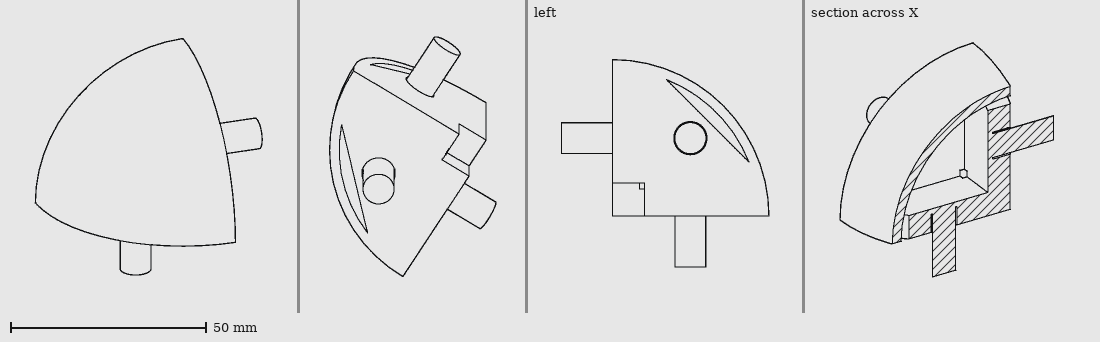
import cadquery as cq
import math

overall_size = 53.15
ball_radius = 40.1
pin_length = overall_size - ball_radius

hollow_radius = 37.6
wall_thickness = 6.9
wall_edge_distance = 34.55
wall_leg = wall_edge_distance * math.sqrt(2)

pin_diameter = 7.95
pin_hole_diameter = 8.5
pin_hole_depth = 5.3
pin_offset = 20.0

recess_width = 8.2
recess_height = 8.5

ORIGIN = (0, 0, 0)
left_face = cq.Plane(origin=ORIGIN, xDir=(0, -1, 0), normal=(-1, 0, 0))
back_face = cq.Plane(origin=ORIGIN, xDir=(0, 0, 1), normal=(0, 1, 0))
bottom_face = cq.Plane(origin=ORIGIN, xDir=(1, 0, 0), normal=(0, 0, -1))
flat_faces = [left_face, back_face, bottom_face]


def octant_box(length, width, height):
    """Box with one corner at the ball centre, reaching into +X, -Y and +Z."""
    return cq.Workplane("XY").box(length, width, height, centered=False).translate((0, -width, 0))


def ball_octant(radius):
    return cq.Workplane("XY").sphere(radius).intersect(octant_box(radius, radius, radius))


def wall(face):
    """Triangular slab behind a flat face; its long edge leaves a lens-shaped slit."""
    corners = [(0, 0), (wall_leg, 0), (0, wall_leg)]
    return cq.Workplane(face).polyline(corners).close().extrude(-wall_thickness)


def hollow():
    space = ball_octant(hollow_radius)
    for face in flat_faces:
        space = space.cut(wall(face))
    return space


def pin_hole(face):
    center = cq.Workplane(face).center(pin_offset, pin_offset)
    return center.circle(pin_hole_diameter / 2).extrude(-pin_hole_depth)


def pin(face):
    """Pin standing on the floor of its hole and projecting from the face."""
    floor = cq.Workplane(face).workplane(offset=-pin_hole_depth).center(pin_offset, pin_offset)
    return floor.circle(pin_diameter / 2).extrude(pin_hole_depth + pin_length)


result = ball_octant(ball_radius).cut(hollow())
result = result.cut(octant_box(recess_width, recess_width, recess_height))
for face in flat_faces:
    result = result.cut(pin_hole(face)).union(pin(face))